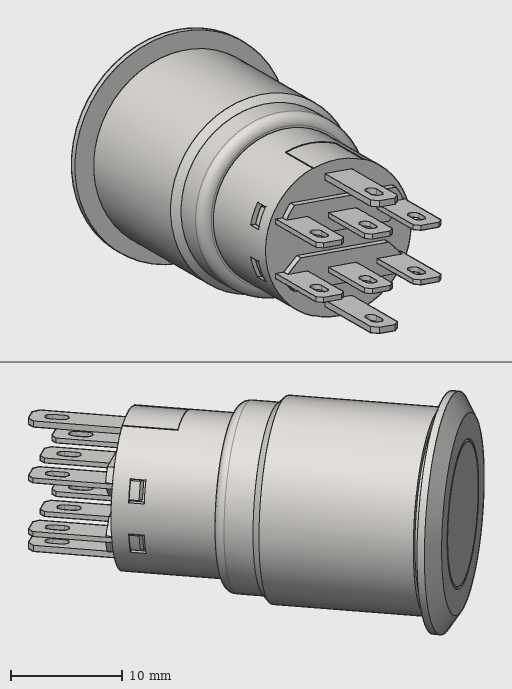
import cadquery as cq
import math


flange_bevel_end = 1.2
flange_back = 1.87
neck_end = 2.55
body_end = 17.45
sleeve_end = 21.15
housing_end = 30.75
bar_end = 31.52
bar_pin_tip = 38.7
outer_pin_tip = 39.8

face_dia = 18.35
flange_dia = 22.0
sleeve_dia = 17.5
body_dia = 18.9
housing_dia = 15.0
body_bevel = (body_dia - sleeve_dia) / 2
sleeve_round = 1.05

gap_dia = 13.6
button_dia = 13.15
gap_depth = (gap_dia - button_dia) / 2

label_start = 25.67
label_width = 5.17
label_dia = 14.9

window_start = 27.75
window_end = 29.17
window_low = 1.5
window_high = 3.55
window_floor_dia = 14.0
latch_foot = 28.0
latch_crest = 28.25
latch_dia = 14.65
latch_side_gap = 0.2
latch_root = 0.4

pin_root = 1.6
bar_pin_width = 2.85
bar_pin_corner = 0.5
bar_pin_spacing = 5.0
bar_pin_z = 2.6
bar_pin_thickness = 0.48
outer_pin_width = 2.8
outer_pin_corner = 0.6
outer_pin_z = 6.0
outer_pin_thickness = 0.6
slot_length = 2.2
slot_width = 1.1
slot_from_tip = 2.45

bar_inner_z = 1.0
bar_outer_z = 4.1
bar_front_radius = 6.4
bar_back_radius = 6.9


def revolve_about_x(points):
    return cq.Workplane("XY").polyline(points).close().revolve(360, (0, 0, 0), (1, 0, 0))


def x_cylinder(radius, start, end):
    return cq.Workplane("YZ", origin=(start, 0, 0)).circle(radius).extrude(end - start)


def block(x_range, y_range, z_range):
    """Box spanning the given (low, high) ranges."""
    sizes = [high - low for low, high in (x_range, y_range, z_range)]
    corner = (x_range[0], y_range[0], z_range[0])
    return cq.Workplane("XY").box(*sizes, centered=False).translate(corner)


def turned_body():
    arc_middle = sleeve_round * math.sqrt(0.5)
    sleeve_radius = sleeve_dia / 2
    arc_centre_x = sleeve_end - sleeve_round
    arc_centre_r = sleeve_radius - sleeve_round
    return (
        cq.Workplane("XY")
        .lineTo(0, button_dia / 2)
        .lineTo(gap_depth, gap_dia / 2)
        .lineTo(0, gap_dia / 2)
        .lineTo(0, face_dia / 2)
        .lineTo(flange_bevel_end, flange_dia / 2)
        .lineTo(flange_back, flange_dia / 2)
        .lineTo(flange_back, sleeve_radius)
        .lineTo(neck_end, sleeve_radius)
        .lineTo(neck_end, body_dia / 2)
        .lineTo(body_end - body_bevel, body_dia / 2)
        .lineTo(body_end, sleeve_radius)
        .lineTo(arc_centre_x, sleeve_radius)
        .threePointArc(
            (arc_centre_x + arc_middle, arc_centre_r + arc_middle),
            (sleeve_end, arc_centre_r),
        )
        .lineTo(sleeve_end, housing_dia / 2)
        .lineTo(housing_end, housing_dia / 2)
        .lineTo(housing_end, 0)
        .close()
        .revolve(360, (0, 0, 0), (1, 0, 0))
    )


def label_recesses():
    """Everything outside the label diameter, over the label width."""
    half_width = label_width / 2
    strip = block((label_start, housing_end), (-half_width, half_width), (-housing_dia, housing_dia))
    return strip.cut(x_cylinder(label_dia / 2, label_start, housing_end))


def latch_windows(side_z):
    """Pockets on both Y sides of the housing, above or below the axis (side_z = 1 or -1)."""
    z_range = sorted((side_z * window_low, side_z * window_high))
    opening = block((window_start, window_end), (-housing_dia, housing_dia), z_range)
    return opening.cut(x_cylinder(window_floor_dia / 2, window_start, window_end))


def latches(side_z):
    """Latch tongues with a sloped front, standing in the window pockets."""
    floor_radius = window_floor_dia / 2
    root_radius = floor_radius - latch_root
    ring = revolve_about_x([
        (latch_foot, root_radius),
        (latch_foot, floor_radius),
        (latch_crest, latch_dia / 2),
        (window_end, latch_dia / 2),
        (window_end, root_radius),
    ])
    z_range = sorted((side_z * (window_low + latch_side_gap), side_z * (window_high - latch_side_gap)))
    return ring.intersect(block((latch_foot, window_end), (-housing_dia, housing_dia), z_range))


def carrier_bar(side_z):
    """Bar across Y with ends that follow the housing outline and bevel in towards the axis."""
    mid_z = bar_pin_z
    bevel = mid_z - bar_inner_z
    front_tip = -math.sqrt(bar_front_radius**2 - mid_z**2)
    front_top = -math.sqrt(bar_front_radius**2 - bar_outer_z**2)
    back_tip = math.sqrt(bar_back_radius**2 - mid_z**2)
    back_top = math.sqrt(bar_back_radius**2 - bar_outer_z**2)
    arc_z = (mid_z + bar_outer_z) / 2
    front_arc = -math.sqrt(bar_front_radius**2 - arc_z**2)
    back_arc = math.sqrt(bar_back_radius**2 - arc_z**2)
    return (
        cq.Workplane("YZ", origin=(housing_end, 0, 0))
        .moveTo(front_tip + bevel, side_z * bar_inner_z)
        .lineTo(front_tip, side_z * mid_z)
        .threePointArc((front_arc, side_z * arc_z), (front_top, side_z * bar_outer_z))
        .lineTo(back_top, side_z * bar_outer_z)
        .threePointArc((back_arc, side_z * arc_z), (back_tip, side_z * mid_z))
        .lineTo(back_tip - bevel, side_z * bar_inner_z)
        .close()
        .extrude(bar_end - housing_end)
    )


def pin(tip, y, z, width, thickness, corner):
    """Flat terminal with a clipped tip and a slot, rooted inside the housing."""
    start = housing_end - pin_root
    blade = block((start, tip), (y - width / 2, y + width / 2), (z - thickness / 2, z + thickness / 2))
    blade = blade.faces(">X").edges("|Z").chamfer(corner)
    slot = (
        cq.Workplane("XY", origin=(tip - slot_from_tip, y, z - thickness))
        .slot2D(slot_length, slot_width)
        .extrude(2 * thickness)
    )
    return blade.cut(slot)


result = turned_body().cut(label_recesses())
for side_z in (1, -1):
    result = result.cut(latch_windows(side_z)).union(latches(side_z))
    result = result.union(carrier_bar(side_z))
    for row in (-1, 0, 1):
        result = result.union(pin(
            bar_pin_tip, row * bar_pin_spacing, side_z * bar_pin_z,
            bar_pin_width, bar_pin_thickness, bar_pin_corner,
        ))
    result = result.union(pin(
        outer_pin_tip, 0, side_z * outer_pin_z,
        outer_pin_width, outer_pin_thickness, outer_pin_corner,
    ))